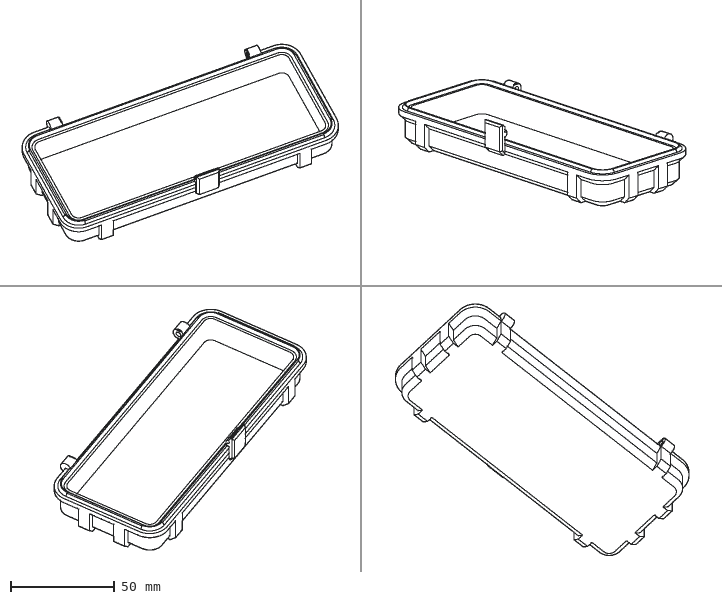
import cadquery as cq

length = 147.0
width = 62.5
corner_radius = 10.0
rim_top = 18.0
rim_height = 3.0
body_inset = 3.1
bevel = 3.1
floor_thickness = 3.0
cavity_inset = 6.2

ridge_height = 1.5
ridge_outer_base = 1.8
ridge_outer_crest = 2.6
ridge_corner_crest = 3.1
ridge_inner_crest = 3.5
ridge_inner_base = 4.9

rib_width = 6.2
end_rib_offset = 10.0
side_rib_offset = 52.6

knuckle_radius = 3.1
hinge_axis_inset = 0.1
groove_clearance = 0.07
pin_hole_radius = 1.3
pin_hole_depth = 3.0
knuckle_step_height = 2.5
knuckle_step_depth = 0.5

latch_width = 12.0
latch_thickness = 2.6
latch_top = 28.5
latch_edge = 1.0
catch_radius = 2.0
catch_proud = 0.3
catch_height = 23.5
catch_chamfer = 0.95

half_width = width / 2
half_length = length / 2
rim_bottom = rim_top - rim_height
ridge_top = rim_top + ridge_height
hinge_x = -half_width + hinge_axis_inset
groove_radius = knuckle_radius + groove_clearance
knuckle_inner_end = side_rib_offset - rib_width / 2


def outline(inset, z):
    """Rim outline moved inwards by inset, at height z; all corners share their centres."""
    rectangle = cq.Sketch().rect(width - 2 * inset, length - 2 * inset)
    return rectangle.vertices().fillet(corner_radius - inset).moved(cq.Location(cq.Vector(0, 0, z)))


def layer(bottom_inset, bottom, top_inset, top):
    """Solid between two inset outlines, straight or bevelled."""
    return cq.Workplane().placeSketch(outline(bottom_inset, bottom), outline(top_inset, top)).loft()


def ridge_sides(half_span, plane, side_length):
    """Straight stretches of the ridge on two opposite sides, with the wider crest."""
    sides = cq.Workplane(plane)
    for side in (-1, 1):
        sides = sides.polyline([
            (side * (half_span - ridge_outer_base), rim_top),
            (side * (half_span - ridge_outer_crest), ridge_top),
            (side * (half_span - ridge_inner_crest), ridge_top),
            (side * (half_span - ridge_inner_crest), rim_top),
        ]).close()
    return sides.extrude(side_length / 2, both=True)


def make_tray():
    tray = layer(body_inset + bevel, 0, body_inset, bevel)
    tray = tray.union(layer(body_inset, bevel, body_inset, rim_bottom))
    tray = tray.union(layer(body_inset, rim_bottom - bevel, 0, rim_bottom))
    tray = tray.union(layer(0, rim_bottom, 0, rim_top))
    tray = tray.union(layer(ridge_outer_base, rim_top, ridge_corner_crest, ridge_top))
    tray = tray.union(ridge_sides(half_length, "YZ", width - 2 * corner_radius))
    tray = tray.union(ridge_sides(half_width, "XZ", length - 2 * corner_radius))
    tray = tray.cut(layer(ridge_inner_base, rim_top, ridge_inner_crest, ridge_top))
    return tray.cut(layer(cavity_inset, floor_thickness, cavity_inset, rim_top))


def rib_pair(half_span, plane, offset):
    """Ribs on two opposite walls, flush with the rim and bevelled at the base."""
    ribs = cq.Workplane(plane, origin=offset)
    for side in (-1, 1):
        ribs = ribs.polyline([
            (side * (half_span - cavity_inset), 0),
            (side * (half_span - bevel), 0),
            (side * half_span, bevel),
            (side * half_span, rim_bottom),
            (side * (half_span - cavity_inset), rim_bottom),
        ]).close()
    return ribs.extrude(rib_width / 2, both=True)


def hinge_rod(radius, start, end):
    """Cylinder on the hinge axis between two Y positions."""
    return (
        cq.Workplane("XZ", origin=(hinge_x, end, rim_top))
        .circle(radius)
        .extrude(end - start)
    )


def make_knuckle():
    """Knuckle on the +Y half, with its pin hole and top step facing the middle."""
    knuckle = hinge_rod(knuckle_radius, knuckle_inner_end, knuckle_inner_end + rib_width)
    pin_hole = hinge_rod(pin_hole_radius, knuckle_inner_end, knuckle_inner_end + pin_hole_depth)
    step = cq.Workplane().box(
        2 * knuckle_radius, knuckle_step_depth, knuckle_radius, centered=(True, False, False)
    ).translate((hinge_x, knuckle_inner_end, rim_top + knuckle_step_height))
    return knuckle.cut(step), pin_hole


def make_latch():
    outer_face = half_width + latch_thickness
    plate = (
        cq.Workplane("XZ")
        .polyline([
            (half_width, rim_bottom - latch_thickness),
            (outer_face, rim_bottom),
            (outer_face, latch_top),
            (half_width, latch_top),
        ])
        .close()
        .extrude(latch_width / 2, both=True)
    )
    plate = plate.edges(">Z").edges("|Y").chamfer(latch_edge)
    side_edges = plate.faces(">X or <Z").edges("not |Y")
    plate = side_edges.chamfer(latch_edge)
    catch = (
        cq.Workplane("XZ", origin=(half_width - catch_proud, 0, catch_height))
        .circle(catch_radius)
        .extrude(latch_width / 2, both=True)
        .edges("%CIRCLE")
        .chamfer(catch_chamfer)
    )
    return plate.union(catch)


result = make_tray()

for offset in (-end_rib_offset, end_rib_offset):
    result = result.union(rib_pair(half_length, "YZ", (offset, 0, 0)))
for offset in (-side_rib_offset, side_rib_offset):
    result = result.union(rib_pair(half_width, "XZ", (0, offset, 0)))

result = result.cut(hinge_rod(groove_radius, -knuckle_inner_end, knuckle_inner_end))

knuckle, pin_hole = make_knuckle()
result = result.union(knuckle).union(knuckle.mirror("XZ"))
result = result.cut(pin_hole).cut(pin_hole.mirror("XZ"))

result = result.union(make_latch())